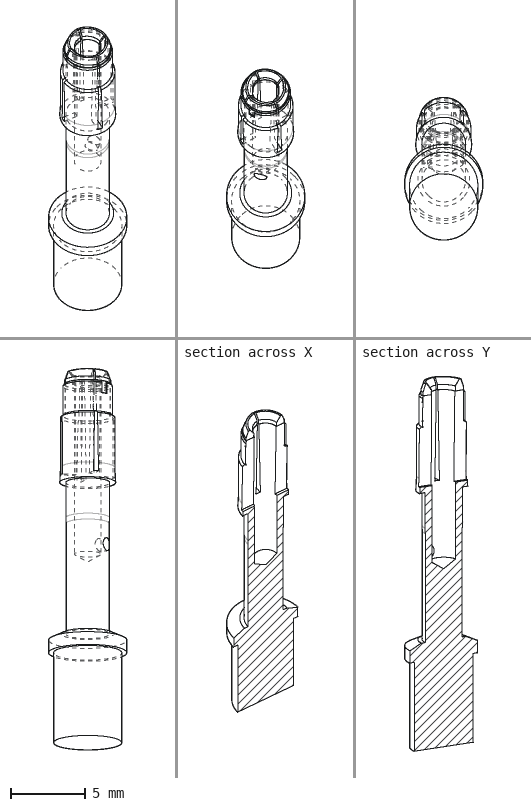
import cadquery as cq
import math

barrel_radius = 2.30
collar_radius = 2.64
collar_bottom = 6.20
collar_edge_top = 7.08
collar_top = 7.50
collar_top_radius = 1.75

shaft_radius = 1.46
shaft_top = 15.10
neck_bottom = 15.50
neck_radius = 1.48

sleeve_bottom = 17.93
sleeve_bottom_radius = 1.89
flare_top = 18.95
sleeve_radius = 1.84
sleeve_edge_bottom = 22.40
sleeve_top = 22.54

ring_radius = 1.67
tube_radius = 1.59
ring_edge = 24.56
ring_top = 24.70

total_height = 25.50
nose_edge = 24.95
nose_base_radius = 1.70
nose_top_radius = 1.50
pinch = 0.16
pinch_side = pinch / math.sqrt(2)
nose_slot_width = 0.12
quarter_angles = (0, 90, 180, 270)

bore_radius = 0.90
nose_bore_radius = bore_radius + pinch
mouth_radius = 1.37
mouth_depth = 0.45
bore_floor = 13.00
drill_angle = 118
bore_tip = bore_floor - bore_radius / math.tan(math.radians(drill_angle / 2))

slot_bottom = 18.38
slot_bottom_width = 0.35
slot_top_width = 0.13

notch_width = 0.45
notch_bottom = 23.85
notch_angle = 115

vent_diameter = 0.88
vent_height = 13.54
vent_angle = 135


def revolve_profile(points):
    """Solid of revolution about Z from (radius, height) points."""
    return cq.Workplane("XZ").polyline(points).close().revolve(360, (0, 0), (0, 1))


def cylinder(radius, bottom, top):
    """Upright cylinder about the Z axis."""
    return cq.Workplane("XY").workplane(offset=bottom).circle(radius).extrude(top - bottom)


def turn(shape, angle):
    """Shape turned about the Z axis."""
    return shape.rotate((0, 0, 0), (0, 0, 1), angle)


def make_body():
    """Turned outer shape from the barrel up to the top of the retaining ring."""
    return revolve_profile([
        (0, 0),
        (barrel_radius, 0),
        (barrel_radius, collar_bottom),
        (collar_radius, collar_bottom),
        (collar_radius, collar_edge_top),
        (collar_top_radius, collar_top),
        (shaft_radius, collar_top),
        (shaft_radius, shaft_top),
        (neck_radius, neck_bottom),
        (neck_radius, sleeve_bottom),
        (sleeve_bottom_radius, sleeve_bottom),
        (sleeve_radius, flare_top),
        (sleeve_radius, sleeve_edge_bottom),
        (ring_radius, sleeve_top),
        (ring_radius, ring_edge),
        (tube_radius, ring_top),
        (0, ring_top),
    ])


def make_bore():
    """Socket bore with a conical floor."""
    return revolve_profile([
        (0, bore_tip),
        (bore_radius, bore_floor),
        (bore_radius, ring_top),
        (0, ring_top),
    ])


def make_cross_slots():
    """Two crossed tapered slots, kept inside the tube where the ring closes round it."""
    half_length = collar_radius
    slot = (
        cq.Workplane("XZ")
        .polyline([
            (-slot_bottom_width / 2, slot_bottom),
            (slot_bottom_width / 2, slot_bottom),
            (slot_top_width / 2, ring_top),
            (-slot_top_width / 2, ring_top),
        ])
        .close()
        .extrude(half_length, both=True)
    )
    open_height = cylinder(collar_radius, slot_bottom, sleeve_top)
    ringed_height = cylinder(tube_radius, sleeve_top, ring_top)
    return slot.union(turn(slot, 90)).intersect(open_height.union(ringed_height))


def make_nose():
    """Four pinched quarters of a hollow cone with a countersunk mouth."""
    cone = revolve_profile([
        (nose_bore_radius, ring_top),
        (nose_base_radius, ring_top),
        (nose_base_radius, nose_edge),
        (nose_top_radius, total_height),
        (mouth_radius, total_height),
        (nose_bore_radius, total_height - mouth_depth),
    ])
    slot_half = nose_slot_width / 2
    height = total_height - ring_top
    quadrant = (
        cq.Workplane("XY")
        .workplane(offset=ring_top)
        .center(slot_half, slot_half)
        .rect(collar_radius, collar_radius, centered=False)
        .extrude(height)
    )
    quarter = cone.translate((-pinch_side, -pinch_side, 0)).intersect(quadrant)
    nose = turn(quarter, quarter_angles[0])
    for angle in quarter_angles[1:]:
        nose = nose.union(turn(quarter, angle))
    return nose


def make_ring_notch():
    """Notch through the ring wall, open at the top of the ring."""
    depth = ring_top - notch_bottom
    block = (
        cq.Workplane("XY")
        .workplane(offset=notch_bottom)
        .center(tube_radius, 0)
        .rect(2 * (ring_radius - tube_radius), notch_width)
        .extrude(depth)
    )
    outside_tube = block.cut(cylinder(tube_radius, notch_bottom, ring_top))
    return turn(outside_tube, notch_angle)


def make_vent():
    """Radial hole from outside the shaft into the bore."""
    hole = cq.Workplane("YZ").center(0, vent_height).circle(vent_diameter / 2).extrude(collar_radius)
    return turn(hole, vent_angle)


result = (
    make_body()
    .cut(make_bore())
    .cut(make_cross_slots())
    .cut(make_ring_notch())
    .cut(make_vent())
    .union(make_nose())
)